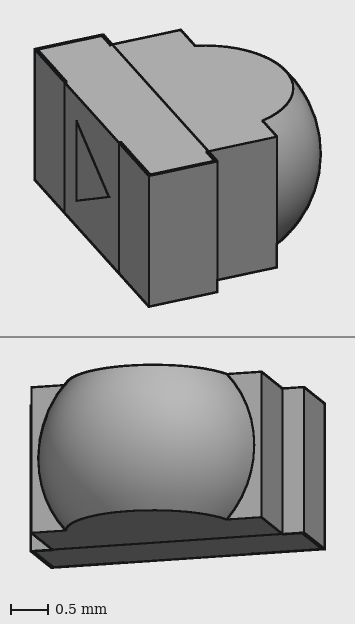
import cadquery as cq

length = 3.8
height = 2.0
board_depth = 1.0
lens_block_length = 3.2
lens_block_depth = 1.0
dome_rise = 1.2
dome_base_radius = 1.5
terminal_thickness = 0.03
terminal_front_length = 1.0
mark_start = -0.505
mark_length = 1.075
mark_height = 1.215
mark_thickness = 0.03

half_length = length / 2
dome_base_y = board_depth + lens_block_depth
dome_radius = (dome_base_radius**2 + dome_rise**2) / (2 * dome_rise)
dome_centre_y = dome_base_y + dome_rise - dome_radius


def block(x_size, y_start, y_size):
    """Full-height block centred on X and Z, starting at y_start."""
    return cq.Workplane("XY").box(x_size, y_size, height).translate((0, y_start + y_size / 2, 0))


def make_terminal(side):
    """C-shaped plating wrapped around one end of the board; side is -1 or +1 along X."""
    outer_x = side * half_length
    inner_x = side * (half_length - terminal_thickness)
    front_end_x = side * (half_length - terminal_front_length)
    back_end_x = side * lens_block_length / 2
    outline = [
        (front_end_x, 0),
        (outer_x, 0),
        (outer_x, board_depth),
        (back_end_x, board_depth),
        (back_end_x, board_depth - terminal_thickness),
        (inner_x, board_depth - terminal_thickness),
        (inner_x, terminal_thickness),
        (front_end_x, terminal_thickness),
    ]
    return cq.Workplane("XY").polyline(outline).close().extrude(height / 2, both=True)


def make_polarity_mark():
    """Triangular inlay, flush with the mounting face and pointing toward +X."""
    corners = [
        (mark_start, -mark_height / 2),
        (mark_start, mark_height / 2),
        (mark_start + mark_length, 0),
    ]
    return cq.Workplane("XZ").polyline(corners).close().extrude(-mark_thickness)


def make_board(inlays):
    """Board with a matching recess for each terminal and for the mark."""
    board = block(length, 0, board_depth)
    for inlay in inlays:
        board = board.cut(inlay)
    return board


def make_lens():
    """Rectangular block with a spherical dome, trimmed flat at the top and bottom."""
    sphere = cq.Workplane("XY").sphere(dome_radius).translate((0, dome_centre_y, 0))
    dome = sphere.intersect(block(2 * dome_radius, dome_base_y, dome_rise))
    return block(lens_block_length, board_depth, lens_block_depth).union(dome)


terminals = [make_terminal(side) for side in (-1, 1)]
polarity_mark = make_polarity_mark()
board = make_board([*terminals, polarity_mark])
lens = make_lens()

result = cq.Compound.makeCompound([
    board.val(),
    lens.val(),
    *[terminal.val() for terminal in terminals],
    polarity_mark.val(),
])